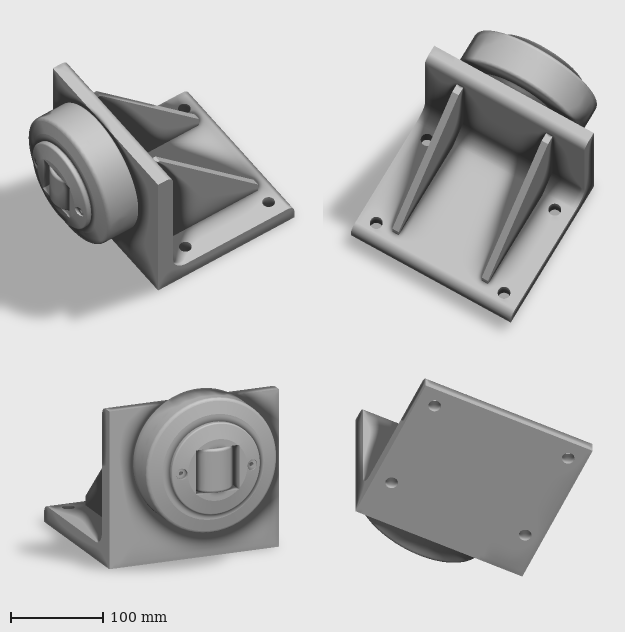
import cadquery as cq
import math

angle_width = 200.0
leg_length = 180.0
leg_thickness = 20.0
root_radius = 18.0
toe_radius = 9.0

fixing_hole_diameter = 13.84
fixing_hole_x = 80.0
fixing_hole_ys = (50.0, 160.0)

gusset_thickness = 8.0
gusset_outer_x = 60.0
gusset_reach = 160.0
gusset_land = 10.0
gusset_corner_cut = 22.5

axis_height = 120.0
cone_slope = math.tan(math.radians(15))

neck_radius = 103.0 / 2
rear_seal_radius = 101.2 / 2
rear_seal_depth = 7.8

tyre_rear_depth = 8.6
tyre_front_depth = 53.4
tyre_radius = 77.0
tyre_crown = 0.3
tyre_rear_fillet = 3.0
tyre_front_fillet = 4.0
tyre_face_radius = 60.0

groove_radius = 101.4 / 2
cap_rear_depth = 55.0
cap_radius = 104.5 / 2
cap_face_radius = 35.0
cap_front_depth = 65.0
cap_rim_depth = cap_front_depth - (cap_radius - cap_face_radius) * cone_slope
cap_rim_fillet = 1.8

window_size = 51.0
side_roller_radius = 24.0
side_roller_length = 50.0
side_roller_crown = 0.2
side_roller_fillet = 3.0
side_roller_front_depth = 69.0
side_roller_axis_depth = side_roller_front_depth - side_roller_radius
floor_to_roller_axis = 2.0
window_floor_depth = side_roller_axis_depth + floor_to_roller_axis

screw_x = 41.6
screw_hole_diameter = 12.4
screw_head_diameter = 11.7
screw_head_depth = 61.0
screw_gap_depth = 59.0
screw_socket_diameter = 5.0
screw_socket_length = 3.0


def make_angle():
    """L-section extruded along X, with a rounded root and rounded toes."""
    section = (
        cq.Workplane("YZ")
        .polyline([
            (0, 0),
            (leg_length, 0),
            (leg_length, leg_thickness),
            (leg_thickness, leg_thickness),
            (leg_thickness, leg_length),
            (0, leg_length),
        ])
        .close()
        .extrude(angle_width / 2, both=True)
    )

    def edge_at(y, z):
        return cq.selectors.NearestToPointSelector((0, y, z))

    angle = section.edges(edge_at(leg_thickness, leg_thickness)).fillet(root_radius)
    angle = angle.edges(edge_at(leg_length, leg_thickness)).fillet(toe_radius)
    angle = angle.edges(edge_at(leg_thickness, leg_length)).fillet(toe_radius)
    holes = (
        cq.Workplane("XY")
        .pushPoints([(x, y) for x in (-fixing_hole_x, fixing_hole_x) for y in fixing_hole_ys])
        .circle(fixing_hole_diameter / 2)
        .extrude(leg_thickness)
    )
    return angle.cut(holes)


def make_gusset(x_start):
    """Triangular plate with cut tips and a cut that clears the root radius."""
    inner = leg_thickness
    tip = leg_thickness + gusset_land
    return (
        cq.Workplane("YZ", origin=(x_start, 0, 0))
        .polyline([
            (inner + gusset_corner_cut, inner),
            (gusset_reach, inner),
            (gusset_reach, tip),
            (tip, gusset_reach),
            (inner, gusset_reach),
            (inner, inner + gusset_corner_cut),
        ])
        .close()
        .extrude(gusset_thickness)
    )


def revolve_about_bearing_axis(profile):
    """Revolve a (radius, y) profile about the bearing axis."""
    return profile.close().revolve(360, (0, 0, 0), (0, 1, 0))


def bearing_profile_plane():
    """Plane through the bearing axis in which the turned profiles are drawn."""
    return cq.Workplane("XY", origin=(0, 0, axis_height))


def rim_at(depth):
    """Select the circular edge whose centre lies on the bearing axis at this depth."""
    return cq.selectors.NearestToPointSelector((0, -depth, axis_height))


def make_hub():
    """Neck, seal steps and coned cap as one turned body."""
    profile = bearing_profile_plane().polyline([
        (0, 0),
        (neck_radius, 0),
        (neck_radius, -rear_seal_depth),
        (rear_seal_radius, -rear_seal_depth),
        (rear_seal_radius, -tyre_front_depth),
        (groove_radius, -tyre_front_depth),
        (groove_radius, -cap_rear_depth),
        (cap_radius, -cap_rear_depth),
        (cap_radius, -cap_rim_depth),
        (cap_face_radius, -cap_front_depth),
        (0, -cap_front_depth),
    ])
    return revolve_about_bearing_axis(profile).edges(rim_at(cap_rim_depth)).fillet(cap_rim_fillet)


def make_tyre():
    """Outer ring with a slightly crowned tread and a coned front shoulder."""
    edge_radius = tyre_radius - tyre_crown
    shoulder_depth = tyre_front_depth - (edge_radius - tyre_face_radius) * cone_slope
    crown_depth = (tyre_rear_depth + shoulder_depth) / 2
    profile = (
        bearing_profile_plane()
        .moveTo(0, -tyre_rear_depth)
        .lineTo(edge_radius, -tyre_rear_depth)
        .threePointArc((tyre_radius, -crown_depth), (edge_radius, -shoulder_depth))
        .lineTo(tyre_face_radius, -tyre_front_depth)
        .lineTo(0, -tyre_front_depth)
    )
    tyre = revolve_about_bearing_axis(profile)
    tyre = tyre.edges(rim_at(tyre_rear_depth)).fillet(tyre_rear_fillet)
    return tyre.edges(rim_at(shoulder_depth)).fillet(tyre_front_fillet)


def make_window():
    """Square pocket in the cap, with its floor just ahead of the side roller's axis."""
    return (
        cq.Workplane("XZ", origin=(0, -window_floor_depth, axis_height))
        .rect(window_size, window_size)
        .extrude(cap_front_depth - window_floor_depth)
    )


def make_side_roller():
    """Crowned roller about Z with rounded ends; its rear half is sunk in the hub."""
    half_length = side_roller_length / 2
    end_radius = side_roller_radius - side_roller_crown
    roller = (
        cq.Workplane("XZ", origin=(0, -side_roller_axis_depth, axis_height))
        .moveTo(0, -half_length)
        .lineTo(end_radius, -half_length)
        .threePointArc((side_roller_radius, 0), (end_radius, half_length))
        .lineTo(0, half_length)
        .close()
        .revolve(360, (0, 0, 0), (0, 1, 0))
    )
    return roller.edges("%CIRCLE").edges("<Z or >Z").fillet(side_roller_fillet)


def front_cylinder(x, diameter, rear_depth, front_depth):
    """Cylinder along Y at the bearing's height, between two depths."""
    return (
        cq.Workplane("XZ", origin=(x, -rear_depth, axis_height))
        .circle(diameter / 2)
        .extrude(front_depth - rear_depth)
    )


def add_screw(body, x):
    """Sunk screw: hole in the cap, head inside it and a socket in the head."""
    socket_depth = screw_head_depth - screw_socket_length
    body = body.cut(front_cylinder(x, screw_hole_diameter, screw_gap_depth, cap_front_depth))
    body = body.union(front_cylinder(x, screw_head_diameter, screw_gap_depth, screw_head_depth))
    return body.cut(front_cylinder(x, screw_socket_diameter, socket_depth, screw_head_depth))


bearing = make_hub().union(make_tyre()).cut(make_window()).union(make_side_roller())
for screw_side in (-1, 1):
    bearing = add_screw(bearing, screw_side * screw_x)

bracket = make_angle()
for gusset_start in (-gusset_outer_x, gusset_outer_x - gusset_thickness):
    bracket = bracket.union(make_gusset(gusset_start))

result = bracket.union(bearing)